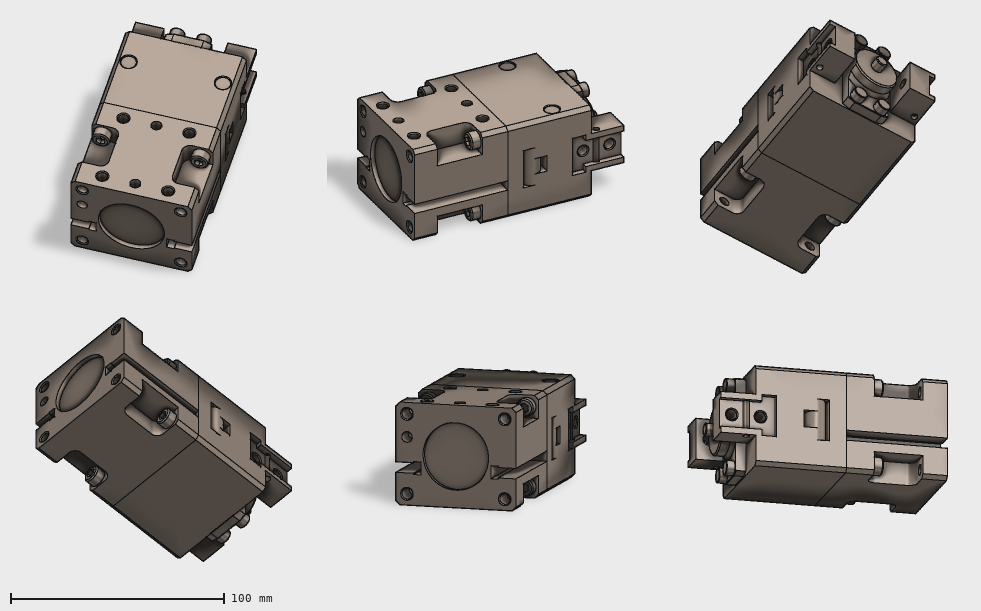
import cadquery as cq
import math

WIDTH = 59.0
HEIGHT = 49.0
LENGTH = 110.0
JOINT_Y = 49.0
HOUSING_END_Y = 93.0
EDGE_CHAMFER = 2.0
HALF_WIDTH = WIDTH / 2
HALF_HEIGHT = HEIGHT / 2

POCKET_START_Y = 12.0
POCKET_END_Y = 35.5
POCKET_WIDTH = 14.0
POCKET_HEIGHT = 10.9
POCKET_RADIUS = 4.0
SCREW_X = 24.0
SCREW_Z = 19.0
HEAD_RADIUS = 4.3
HEAD_LENGTH = 5.0
HEAD_CHAMFER = 0.7
SOCKET_FLATS = 4.0
SOCKET_DEPTH = 2.5
SOCKET_TURN = 30

THREAD_RADIUS = 2.5
THREAD_CHAMFER = 0.5
DRILL_POINT_ANGLE = 118.0
BLIND_HOLE_DEPTH = 10.0
SIDE_HOLE_Z = 8.0
BORE_RADIUS = 16.1
BORE_DEPTH = 2.3
TOP_HOLE_X = 16.1
TOP_HOLE_YS = (6.5, 42.5)

SLOT_Z = -6.6
SLOT_OPENING = 5.0
SLOT_INNER_HEIGHT = 6.2
SLOT_FLOOR_X = 17.2
SLOT_SHOULDER_X = 20.8

TOP_RECESS_X = 23.0
TOP_RECESS_Y = 75.5
TOP_RECESS_RADIUS = 3.6
TOP_RECESS_DEPTH = 0.4

BRACKET_WIDTH = 14.0
BRACKET_HEIGHT = 20.0
FLANGE = 3.0
FLANGE_START_Y = 90.0
CHANNEL_START_Y = 82.9
MOUNT_HOLE_YS = (90.0, 104.0)
CROSS_HOLE_Y = 96.9
CROSS_HOLE_RADIUS = 1.5

HINGE_RADIUS = 5.0
HINGE_Y = 63.1
HINGE_GAP = 1.0
WINDOW_HEIGHT = 8.2
WINDOW_END_Y = 69.6

PLATE_RADIUS = 25.0
PLATE_WIDTH = 22.2
PLATE_HEIGHT = 47.7
PLATE_THICKNESS = 5.0
PLATE_CHAMFER = 0.3
PLATE_SCREW_X = 6.5
PLATE_SCREW_Z = 20.0
PLATE_SCREW_RADIUS = 3.5
PLATE_SCREW_LENGTH = 4.1
PLATE_SCREW_CHAMFER = 0.3
HUB_RADIUS = 12.0
HUB_FOOT_RADIUS = 13.8
HUB_FOOT_LENGTH = 2.1
HUB_END_Y = 104.9
HUB_CHAMFER = 0.7
SHAFT_RADIUS = 3.0
SHAFT_CHAMFER = 0.4

PLATE_END_Y = HOUSING_END_Y + PLATE_THICKNESS
SIDES = (-1, 1)
CORNERS = [(side, level) for side in SIDES for level in SIDES]


def box(x_range, y_range, z_range):
    """Box between the given limits, each pair in either order."""
    size = [abs(end - start) for start, end in (x_range, y_range, z_range)]
    low = [min(limits) for limits in (x_range, y_range, z_range)]
    return cq.Workplane("XY").box(*size, centered=False).translate(tuple(low))


def cylinder(radius, length, start, direction):
    return cq.Workplane(cq.Solid.makeCylinder(radius, length, cq.Vector(*start), cq.Vector(*direction)))


def cone(radius, end_radius, length, start, direction):
    solid = cq.Solid.makeCone(radius, end_radius, length, cq.Vector(*start), cq.Vector(*direction))
    return cq.Workplane(solid)


def entry_chamfer(radius, chamfer, start, direction):
    """45-degree cone that widens the mouth of a hole or recess."""
    return cone(radius + chamfer, radius, chamfer, start, direction)


def drilled_hole(start, direction):
    """Blind hole of thread size with a drill point."""
    point_length = THREAD_RADIUS / math.tan(math.radians(DRILL_POINT_ANGLE / 2))
    bottom = cq.Vector(*start) + cq.Vector(*direction) * BLIND_HOLE_DEPTH
    hole = cylinder(THREAD_RADIUS, BLIND_HOLE_DEPTH, start, direction)
    return hole.union(cone(THREAD_RADIUS, 0, point_length, bottom.toTuple(), direction))


def housing_block(start_y, end_y):
    block = box((-HALF_WIDTH, HALF_WIDTH), (start_y, end_y), (-HALF_HEIGHT, HALF_HEIGHT))
    return block.edges("|Y").chamfer(EDGE_CHAMFER)



def screw_pocket(side, level):
    """Open corner pocket with rounded inner corners and the access hole in front of the screw."""
    inner_x = side * (HALF_WIDTH - POCKET_WIDTH)
    pocket = box(
        (inner_x, side * (HALF_WIDTH + POCKET_RADIUS)),
        (POCKET_START_Y, POCKET_END_Y),
        (level * (HALF_HEIGHT - POCKET_HEIGHT), level * HALF_HEIGHT),
    )
    pocket = pocket.edges("|Z").edges("<X" if side > 0 else ">X").fillet(POCKET_RADIUS)
    mouth = (side * SCREW_X, 0, level * SCREW_Z)
    pocket = pocket.union(cylinder(THREAD_RADIUS, POCKET_START_Y + POCKET_RADIUS, mouth, (0, 1, 0)))
    return pocket.union(entry_chamfer(THREAD_RADIUS, THREAD_CHAMFER, mouth, (0, 1, 0)))


def t_slot(side):
    lengthwise = (0, JOINT_Y)
    opening = box(
        (side * SLOT_FLOOR_X, side * HALF_WIDTH),
        lengthwise,
        (SLOT_Z - SLOT_OPENING / 2, SLOT_Z + SLOT_OPENING / 2),
    )
    inner = box(
        (side * SLOT_FLOOR_X, side * SLOT_SHOULDER_X),
        lengthwise,
        (SLOT_Z - SLOT_INNER_HEIGHT / 2, SLOT_Z + SLOT_INNER_HEIGHT / 2),
    )
    return opening.union(inner)


def make_front_housing():
    housing = housing_block(0, JOINT_Y)
    for side, level in CORNERS:
        housing = housing.cut(screw_pocket(side, level))
    for side in SIDES:
        housing = housing.cut(t_slot(side))

    housing = housing.cut(cylinder(BORE_RADIUS, BORE_DEPTH, (0, 0, 0), (0, 1, 0)))
    housing = housing.cut(drilled_hole((-SCREW_X, 0, SIDE_HOLE_Z), (0, 1, 0)))

    for y in TOP_HOLE_YS:
        for x in (-TOP_HOLE_X, 0, TOP_HOLE_X):
            mouth = (x, y, HALF_HEIGHT)
            housing = housing.cut(drilled_hole(mouth, (0, 0, -1)))
            if x != 0:
                housing = housing.cut(entry_chamfer(THREAD_RADIUS, THREAD_CHAMFER, mouth, (0, 0, -1)))
    return housing



def make_screw(side, level):
    """Socket head resting on the back wall of its pocket."""
    seat = (side * SCREW_X, POCKET_END_Y, level * SCREW_Z)
    head = cylinder(HEAD_RADIUS, HEAD_LENGTH, seat, (0, -1, 0)).faces("<Y").edges().chamfer(HEAD_CHAMFER)
    socket_diameter = SOCKET_FLATS / math.cos(math.pi / 6)
    socket = (
        cq.Workplane("XZ")
        .polygon(6, socket_diameter)
        .extrude(-SOCKET_DEPTH)
        .rotate((0, 0, 0), (0, 1, 0), SOCKET_TURN)
        .translate((side * SCREW_X, POCKET_END_Y - HEAD_LENGTH, level * SCREW_Z))
    )
    return head.cut(socket)



def add_bracket(housing, side):
    """Bracket behind the housing, with a channel between its flanges."""
    outer_x = side * HALF_WIDTH
    web_x = side * (HALF_WIDTH - FLANGE)
    inner_x = side * (HALF_WIDTH - BRACKET_WIDTH)
    half_height = BRACKET_HEIGHT / 2
    channel_half = half_height - FLANGE
    full_z = (-half_height, half_height)

    housing = housing.union(box((outer_x, inner_x), (HOUSING_END_Y, LENGTH), full_z))
    housing = housing.cut(box((outer_x, web_x), (CHANNEL_START_Y, FLANGE_START_Y), full_z))
    channel = box((outer_x, web_x), (FLANGE_START_Y, LENGTH), (-channel_half, channel_half))
    housing = housing.cut(channel)

    cross_hole = cylinder(CROSS_HOLE_RADIUS, BRACKET_HEIGHT, (web_x, CROSS_HOLE_Y, -half_height), (0, 0, 1))
    housing = housing.cut(cross_hole)
    for y in MOUNT_HOLE_YS:
        inward = (-side, 0, 0)
        housing = housing.cut(cylinder(THREAD_RADIUS, HALF_WIDTH, (outer_x, y, 0), inward))
        housing = housing.cut(entry_chamfer(THREAD_RADIUS, THREAD_CHAMFER, (web_x, y, 0), inward))
    return housing


def add_hinge(housing, side):
    """Rounded bracket end: a barrel in a recess, with a window that opens through the housing."""
    outer_x = side * HALF_WIDTH
    axis_x = side * (HALF_WIDTH - HINGE_RADIUS)
    half_height = BRACKET_HEIGHT / 2
    window_z = (-WINDOW_HEIGHT / 2, WINDOW_HEIGHT / 2)
    barrel_end_y = HINGE_Y + HINGE_RADIUS
    recess_start_y = HINGE_Y - HINGE_RADIUS - HINGE_GAP

    recess_x = side * (HALF_WIDTH - 2 * HINGE_RADIUS)
    recess = box((outer_x, recess_x), (recess_start_y, HINGE_Y), (-half_height, half_height))
    window = box((outer_x, axis_x), (HINGE_Y, WINDOW_END_Y), window_z)
    slit = box((outer_x, 0), (barrel_end_y, WINDOW_END_Y), window_z)
    barrel = cylinder(HINGE_RADIUS, BRACKET_HEIGHT, (axis_x, HINGE_Y, -half_height), (0, 0, 1))
    return housing.cut(recess).cut(window).union(barrel).cut(slit)


def end_plate():
    """Disc trimmed to a narrow upright plate, with the outer ends chamfered."""
    disc = cylinder(PLATE_RADIUS, PLATE_THICKNESS, (0, HOUSING_END_Y, 0), (0, 1, 0))
    trim = box(
        (-PLATE_WIDTH / 2, PLATE_WIDTH / 2),
        (HOUSING_END_Y, PLATE_END_Y),
        (-PLATE_HEIGHT / 2, PLATE_HEIGHT / 2),
    )
    return disc.intersect(trim).faces(">Y").edges("not |Z").chamfer(PLATE_CHAMFER)


def plate_screw(side, level):
    seat = (side * PLATE_SCREW_X, PLATE_END_Y, level * PLATE_SCREW_Z)
    head = cylinder(PLATE_SCREW_RADIUS, PLATE_SCREW_LENGTH, seat, (0, 1, 0))
    return head.faces(">Y").edges().chamfer(PLATE_SCREW_CHAMFER)


def hub_and_shaft():
    """Hub with a conical foot, trimmed to the plate width, and the shaft that ends it."""
    hub = cylinder(HUB_RADIUS, HUB_END_Y - PLATE_END_Y, (0, PLATE_END_Y, 0), (0, 1, 0))
    hub = hub.faces(">Y").edges().chamfer(HUB_CHAMFER)
    hub = hub.union(cone(HUB_FOOT_RADIUS, HUB_RADIUS, HUB_FOOT_LENGTH, (0, PLATE_END_Y, 0), (0, 1, 0)))
    trim = box(
        (-PLATE_WIDTH / 2, PLATE_WIDTH / 2),
        (PLATE_END_Y, HUB_END_Y),
        (-HUB_FOOT_RADIUS, HUB_FOOT_RADIUS),
    )
    shaft = cylinder(SHAFT_RADIUS, LENGTH - HUB_END_Y, (0, HUB_END_Y, 0), (0, 1, 0))
    return hub.intersect(trim).union(shaft.faces(">Y").edges().chamfer(SHAFT_CHAMFER))


def make_rear_housing():
    housing = housing_block(JOINT_Y, HOUSING_END_Y)
    for side in SIDES:
        housing = add_bracket(housing, side)
        housing = add_hinge(housing, side)
        mouth = (side * TOP_RECESS_X, TOP_RECESS_Y, HALF_HEIGHT)
        housing = housing.cut(entry_chamfer(TOP_RECESS_RADIUS, TOP_RECESS_DEPTH, mouth, (0, 0, -1)))

    housing = housing.union(end_plate()).union(hub_and_shaft())
    for side, level in CORNERS:
        housing = housing.union(plate_screw(side, level))
    return housing


front_housing = make_front_housing()
rear_housing = make_rear_housing()
screws = [make_screw(side, level) for side, level in CORNERS]

result = cq.Compound.makeCompound(
    [front_housing.val(), rear_housing.val(), *[screw.val() for screw in screws]]
)